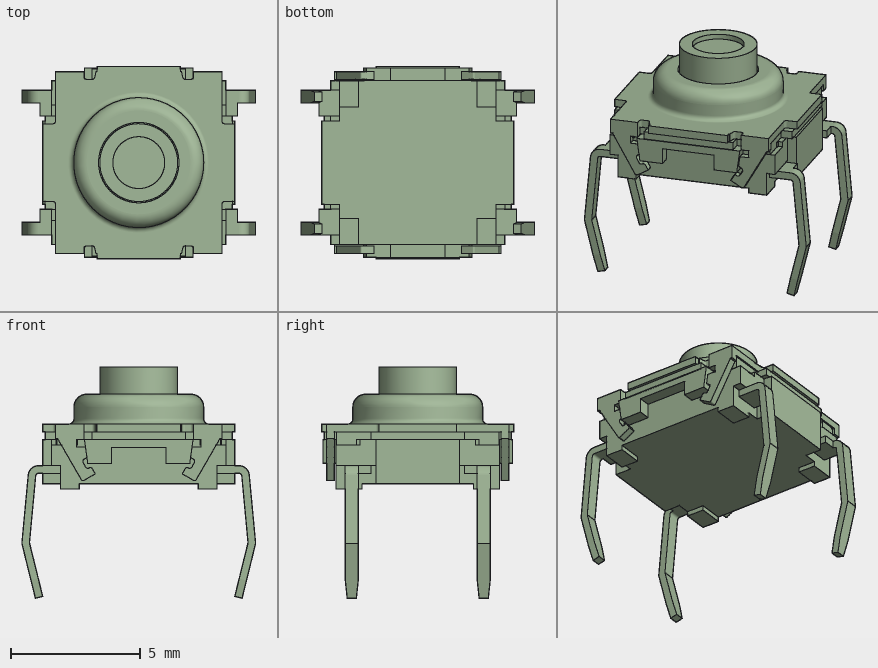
import cadquery as cq
import math

foot_z = -0.2
lead_top_z = 0.7
lug_bottom_z = 0.79
lug_notch_top_z = 1.4
pocket_floor_z = 1.5
base_top_z = 1.7
plate_bottom_z = 2.0
plate_top_z = 2.3
dome_top_z = 3.46
button_top_z = 4.5
lead_tip_z = -4.4

base_half_x = 3.35
base_half_y = 3.15
lower_base_half_x = 3.015
block_half_x = 3.7
block_half_y = 1.6
lug_face_y = 3.645
lug_top_half = 2.09
lug_bottom_half = 1.96
lug_notch_half = 1.04
foot_inner_x = 2.29
foot_inner_y = 2.14
spacer_reach = 3.6
spacer_arm_half = 1.8
spacer_corner_x = 3.15
spacer_corner_y = 3.13

pocket_start = 2.36
pocket_step_x = 3.18
pocket_step_y = 2.22

plate_half_x = 3.2
plate_half_y = 3.5
tab_reach = 3.7
x_tab_half = 1.49
y_tab_half = 1.6
y_tab_root_half = 1.71
notch_outer_x = 2.1
notch_floor_y = 3.2
plate_corner_radius = 0.1
selection_margin = 0.01

button_dia = 3.0
button_gap_dia = 3.1
button_gap_depth = dome_top_z - plate_top_z
recess_dia = 2.0
recess_depth = 0.2
dome_dia = 5.0
dome_edge_radius = 0.5
dome_root_radius = 0.2

lead_thickness = 0.3
lead_outer_y = 2.79
lead_width = 0.5
lead_wide_inner_y = 1.79
lead_wide_reach = 3.81
lead_shoulder_x = 4.22
lead_bend_x = 4.5
lead_bend_z = -2.29
lead_tip_x = 3.98
lead_outer_radius = 0.4
lead_inner_radius = 0.1
taper_length = 0.7
taper_tip_width = 0.36

leg_top_z = 1.75
leg_diagonal_x = 3.12
leg_angle = 60
leg_foot_z = 0.1
leg_foot_width = 0.58
leg_foot_height = 0.315
leg_neck_width = 0.39
leg_neck_height = 0.38
leg_foot_radius = 0.06
leg_neck_radius = 0.09
window_outer_x = 2.39
window_bottom_z = 1.41
lower_notch_top_z = 1.02


def box(x0, x1, y0, y1, z0, z1):
    """Box between two opposite corners."""
    return cq.Workplane("XY").box(x1 - x0, y1 - y0, z1 - z0, centered=False).translate((x0, y0, z0))


def slab(half_x, half_y, z0, z1):
    """Box centred on the Z axis."""
    return box(-half_x, half_x, -half_y, half_y, z0, z1)


def front_prism(points, y0, y1):
    """Outline in X and Z, extruded from y0 to y1."""
    return cq.Workplane("XZ", origin=(0, y0, 0)).polyline(points).close().extrude(y0 - y1)


def at_both_y(solid):
    """The solid and its mirror image in the XZ plane."""
    return solid.union(solid.mirror("XZ"))


def at_four_corners(solid):
    """The solid repeated in all four quadrants."""
    pair = solid.union(solid.mirror("YZ"))
    return at_both_y(pair)


def make_base():
    """Base with undercut corners over the leads, stepped corner pockets, side blocks and four feet."""
    base = slab(base_half_x, base_half_y, lead_top_z, base_top_z)
    base = base.union(slab(lower_base_half_x, base_half_y, 0, lead_top_z))
    pocket = box(pocket_start, base_half_x, pocket_start, base_half_y, pocket_floor_z, base_top_z)
    step = box(pocket_step_x, base_half_x, pocket_step_y, base_half_y, pocket_floor_z, base_top_z)
    base = base.cut(at_four_corners(pocket.union(step)))
    base = base.union(slab(block_half_x, block_half_y, 0, base_top_z))
    foot = box(foot_inner_x, lower_base_half_x, foot_inner_y, base_half_y, foot_z, 0)
    return base.union(at_four_corners(foot))


def make_lugs():
    """Tapered latch lugs on the two Y faces, notched from below."""
    lug = front_prism(
        [
            (-lug_top_half, base_top_z),
            (lug_top_half, base_top_z),
            (lug_bottom_half, lug_bottom_z),
            (lug_notch_half, lug_bottom_z),
            (lug_notch_half, lug_notch_top_z),
            (-lug_notch_half, lug_notch_top_z),
            (-lug_notch_half, lug_bottom_z),
            (-lug_bottom_half, lug_bottom_z),
        ],
        base_half_y,
        lug_face_y,
    )
    return at_both_y(lug)


def make_spacer():
    """Layer between base and cover: an arm towards each side and corners that fill the pockets."""
    spacer = slab(spacer_reach, spacer_arm_half, base_top_z, plate_bottom_z)
    spacer = spacer.union(slab(spacer_arm_half, spacer_reach, base_top_z, plate_bottom_z))
    return spacer.union(slab(spacer_corner_x, spacer_corner_y, pocket_floor_z, plate_bottom_z))


def make_plate():
    """Cover plate with a wide tab on each side and a notch at each end of the Y tabs."""
    height = plate_top_z - plate_bottom_z
    plate = slab(plate_half_x, plate_half_y, plate_bottom_z, plate_top_z)
    plate = plate.union(slab(tab_reach, x_tab_half, plate_bottom_z, plate_top_z))
    root_corners = cq.selectors.BoxSelector(
        (-plate_half_x - selection_margin, -x_tab_half - selection_margin, plate_bottom_z),
        (plate_half_x + selection_margin, x_tab_half + selection_margin, plate_top_z),
    )
    plate = plate.edges(root_corners).edges("|Z").fillet(plate_corner_radius)
    plate = plate.union(slab(y_tab_half, tab_reach, plate_bottom_z, plate_top_z))
    notch = (
        cq.Workplane("XY", origin=(0, 0, plate_bottom_z))
        .polyline(
            [
                (y_tab_half, tab_reach),
                (notch_outer_x, tab_reach),
                (notch_outer_x, notch_floor_y),
                (y_tab_root_half, notch_floor_y),
            ]
        )
        .close()
        .extrude(height)
        .edges("|Z and <Y")
        .fillet(plate_corner_radius)
    )
    return plate.cut(at_four_corners(notch))


def lug_edge_x(z):
    """Half width of a latch lug at height z."""
    share = (z - lug_bottom_z) / (base_top_z - lug_bottom_z)
    return lug_bottom_half + share * (lug_top_half - lug_bottom_half)


def make_legs():
    """Legs bent down from the cover, slanting inwards to a foot below each lug."""
    along = (-math.cos(math.radians(leg_angle)), -math.sin(math.radians(leg_angle)))
    across = (along[1], -along[0])
    length = (leg_top_z - leg_foot_z) / -along[1]

    def leg_point(distance, offset):
        """Point at a distance down the slanted edge and an offset square to it, towards the lug."""
        x = leg_diagonal_x + distance * along[0] + offset * across[0]
        return x, leg_top_z + distance * along[1] + offset * across[1]

    foot_heel = leg_point(length, 0)
    foot_instep = leg_point(length - leg_foot_height, leg_foot_width)
    neck_bottom = leg_point(length - leg_foot_height, leg_neck_width)
    neck_top = leg_point(length - leg_foot_height - leg_neck_height, leg_neck_width)
    outline = [
        (plate_half_x, plate_bottom_z),
        (plate_half_x, leg_top_z),
        leg_point(0, 0),
        foot_heel,
        leg_point(length, leg_foot_width),
        foot_instep,
        neck_bottom,
        neck_top,
        (lug_edge_x(lower_notch_top_z), lower_notch_top_z),
        (lug_edge_x(window_bottom_z), window_bottom_z),
        (window_outer_x, window_bottom_z),
        (window_outer_x, base_top_z),
        (notch_outer_x, base_top_z),
        (notch_outer_x, plate_bottom_z),
    ]
    leg = front_prism(outline, notch_floor_y, plate_half_y)
    mid_y = (notch_floor_y + plate_half_y) / 2
    for (x, z), radius in [
        (foot_heel, leg_foot_radius),
        (foot_instep, leg_neck_radius),
        (neck_bottom, leg_neck_radius),
        (neck_top, leg_neck_radius),
    ]:
        leg = leg.edges(cq.selectors.NearestToPointSelector((x, mid_y, z))).fillet(radius)
    return at_four_corners(leg)


def make_leads():
    """Bent flat leads with a wide root and a tapered tip."""
    lead_inner_y = lead_outer_y - lead_width
    upper = math.atan2(lead_bend_x - lead_shoulder_x, lead_top_z - lead_bend_z)
    lower = math.atan2(lead_bend_x - lead_tip_x, lead_bend_z - lead_tip_z)

    t = lead_thickness
    inner_shoulder_x = lead_shoulder_x + t * math.tan(upper) - t / math.cos(upper)
    mitre = (lower - upper) / 2
    bend_reach = t / math.cos((upper + lower) / 2)
    outline = [
        (lower_base_half_x, lead_top_z),
        (lead_shoulder_x, lead_top_z),
        (lead_bend_x, lead_bend_z),
        (lead_tip_x, lead_tip_z),
        (lead_tip_x - t * math.cos(lower), lead_tip_z + t * math.sin(lower)),
        (lead_bend_x - bend_reach * math.cos(mitre), lead_bend_z + bend_reach * math.sin(mitre)),
        (inner_shoulder_x, lead_top_z - t),
        (lower_base_half_x, lead_top_z - t),
    ]
    lead = front_prism(outline, lead_inner_y, lead_outer_y)
    mid_y = lead_outer_y - lead_width / 2
    for x, z, radius in [
        (lead_shoulder_x, lead_top_z, lead_outer_radius),
        (inner_shoulder_x, lead_top_z - t, lead_inner_radius),
    ]:
        lead = lead.edges(cq.selectors.NearestToPointSelector((x, mid_y, z))).fillet(radius)

    tip_plane = cq.Plane(
        origin=(lead_tip_x, mid_y, lead_tip_z),
        xDir=(0, 1, 0),
        normal=(math.cos(lower), 0, -math.sin(lower)),
    )
    for side in (-1, 1):
        sliver = (
            cq.Workplane(tip_plane)
            .polyline(
                [
                    (side * taper_tip_width / 2, 0),
                    (side * lead_width / 2, taper_length),
                    (side * lead_width / 2, 0),
                ]
            )
            .close()
            .extrude(t, both=True)
        )
        lead = lead.cut(sliver)

    root = box(
        lower_base_half_x,
        lead_wide_reach,
        lead_wide_inner_y,
        lead_outer_y,
        lead_top_z - t,
        lead_top_z,
    )
    return at_four_corners(lead.union(root))


def make_dome_and_button():
    """Rounded dome around a button that stands in an annular gap and has a recessed top."""
    dome_half = dome_dia / 2
    dome = (
        cq.Workplane("XZ")
        .moveTo(0, plate_bottom_z)
        .lineTo(dome_half + dome_root_radius, plate_bottom_z)
        .lineTo(dome_half + dome_root_radius, plate_top_z)
        .radiusArc((dome_half, plate_top_z + dome_root_radius), dome_root_radius)
        .lineTo(dome_half, dome_top_z - dome_edge_radius)
        .radiusArc((dome_half - dome_edge_radius, dome_top_z), -dome_edge_radius)
        .lineTo(0, dome_top_z)
        .close()
        .revolve(360, (0, 0, 0), (0, 1, 0))
    )
    dome = dome.faces(">Z").workplane().hole(button_gap_dia, button_gap_depth)
    gap_floor_z = dome_top_z - button_gap_depth
    button = (
        cq.Workplane("XY", origin=(0, 0, gap_floor_z))
        .circle(button_dia / 2)
        .extrude(button_top_z - gap_floor_z)
    )
    button = button.faces(">Z").workplane().hole(recess_dia, recess_depth)
    return dome.union(button)


result = (
    make_base()
    .union(make_lugs())
    .union(make_spacer())
    .union(make_plate())
    .union(make_legs())
    .union(make_leads())
    .union(make_dome_and_button())
)